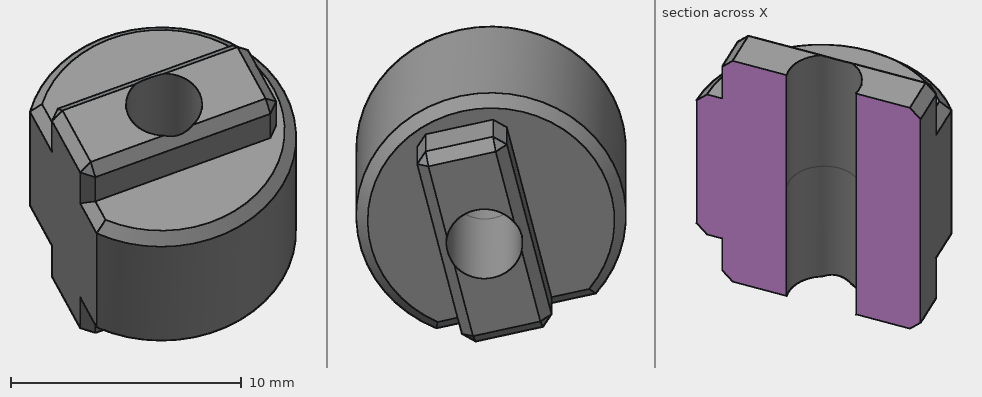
import cadquery as cq

BODY_DIAMETER = 11.7
BODY_HEIGHT = 8.0
FLAT_DISTANCE = 4.65

KEY_WIDTH = 4.0
KEY_LENGTH = 2 * FLAT_DISTANCE
KEY_HEIGHT = 12.6
KEY_OFFSET_X = 0.3

BORE_DIAMETER = 3.3
CHAMFER = 0.5


def make_body():
    """Cylinder cut by the flat, chamfered around both end faces."""
    cylinder = cq.Workplane("XY").circle(BODY_DIAMETER / 2).extrude(BODY_HEIGHT / 2, both=True)
    beyond_flat = (
        cq.Workplane("XY")
        .box(BODY_DIAMETER, BODY_DIAMETER, BODY_HEIGHT)
        .translate((0, -FLAT_DISTANCE - BODY_DIAMETER / 2, 0))
    )
    return cylinder.cut(beyond_flat).faces("<Z or >Z").edges().chamfer(CHAMFER)


def make_key():
    """Rectangular bar with every edge chamfered."""
    return (
        cq.Workplane("XY")
        .box(KEY_WIDTH, KEY_LENGTH, KEY_HEIGHT)
        .edges()
        .chamfer(CHAMFER)
        .translate((KEY_OFFSET_X, 0, 0))
    )


def make_bore():
    """Through bore along Z, centred in the key."""
    return (
        cq.Workplane("XY")
        .center(KEY_OFFSET_X, 0)
        .circle(BORE_DIAMETER / 2)
        .extrude(KEY_HEIGHT / 2, both=True)
    )


result = make_body().union(make_key()).cut(make_bore())